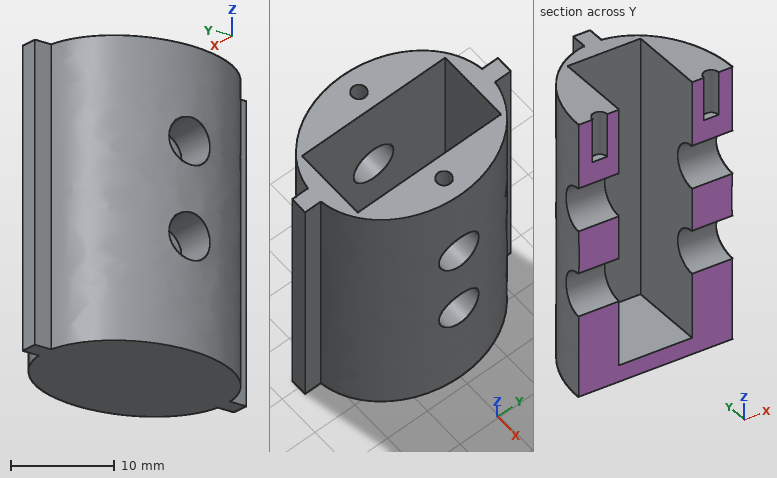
import cadquery as cq

height = 32.0
body_width = 18.0
body_length = 22.0

rail_width = 2.0
length_over_rails = 25.85

pocket_width = 8.5
pocket_length = 18.0
floor_thickness = 2.0

cross_hole_diameter = 5.0
cross_hole_spacing = 10.0
lower_cross_hole_height = 12.0

screw_hole_diameter = 1.7
screw_hole_spacing = 13.0
screw_hole_depth = 5.0


def make_body():
    body = cq.Workplane("XY").ellipse(body_width / 2, body_length / 2).extrude(height)
    rails = cq.Workplane("XY").rect(rail_width, length_over_rails).extrude(height)
    return body.union(rails)


def make_pocket():
    return (
        cq.Workplane("XY")
        .workplane(offset=floor_thickness)
        .rect(pocket_width, pocket_length)
        .extrude(height - floor_thickness)
    )


def make_cross_holes():
    upper_cross_hole_height = lower_cross_hole_height + cross_hole_spacing
    return (
        cq.Workplane("YZ")
        .pushPoints([(0, lower_cross_hole_height), (0, upper_cross_hole_height)])
        .circle(cross_hole_diameter / 2)
        .extrude(body_width, both=True)
    )


def make_screw_holes():
    return (
        cq.Workplane("XY")
        .workplane(offset=height)
        .pushPoints([(-screw_hole_spacing / 2, 0), (screw_hole_spacing / 2, 0)])
        .circle(screw_hole_diameter / 2)
        .extrude(-screw_hole_depth)
    )


result = make_body().cut(make_pocket()).cut(make_cross_holes()).cut(make_screw_holes())